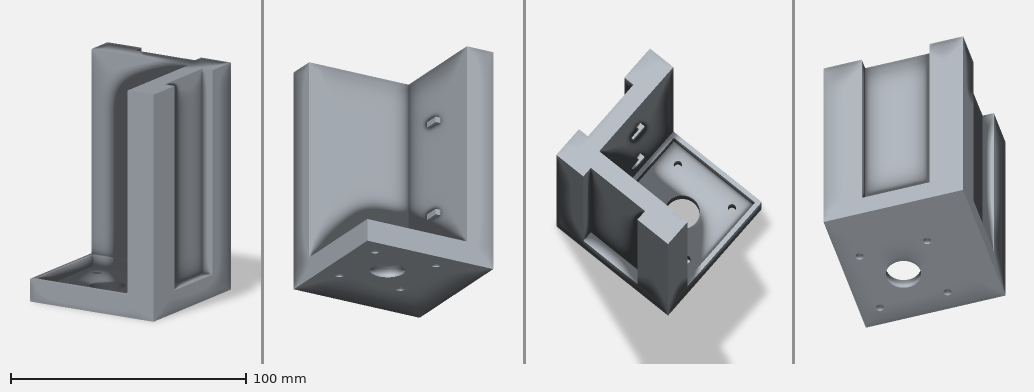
import cadquery as cq

side = 62.0
height = 100.0
base_height = 10.0
wall = 13.0
inner = side - wall

rim = 2.0
pocket_side = inner - 2 * rim
pocket_depth = 5.0

hole_center = 24.0
shaft_hole_diameter = 15.0
screw_hole_diameter = 3.5
screw_spacing = 30.0

channel_start = 17.0
channel_width = 30.0
channel_depth = 5.0

hook_start = 22.0
hook_length = 7.5
hook_height = 2.5
hook_plate = 1.0
hook_reach = 2.5
hook_stem = 2.5
hook_levels = (30.0, 72.5)


def box(x, y, z, length, width, tall):
    """Box with its lowest corner at (x, y, z)."""
    return cq.Workplane("XY").box(length, width, tall, centered=False).translate((x, y, z))


def corner_block():
    """Square base carrying two walls that meet in the +X +Y corner."""
    block = box(0, 0, 0, side, side, height)
    return block.cut(box(0, 0, base_height, inner, inner, height))


def base_cutouts():
    """Pocket, shaft hole and four screw holes."""
    pocket = box(rim, rim, base_height - pocket_depth, pocket_side, pocket_side, pocket_depth)
    center = cq.Workplane("XY").center(hole_center, hole_center)
    shaft_hole = center.circle(shaft_hole_diameter / 2).extrude(base_height)
    screw_holes = (
        center.rect(screw_spacing, screw_spacing, forConstruction=True)
        .vertices()
        .circle(screw_hole_diameter / 2)
        .extrude(base_height)
    )
    return pocket.union(shaft_hole).union(screw_holes)


def wall_channels():
    """One channel in each outer wall face, from the base to the top."""
    floor = side - channel_depth
    back = box(channel_start, floor, base_height, channel_width, channel_depth, height)
    right = box(floor, channel_start, base_height, channel_depth, channel_width, height)
    return back.union(right)


def hook(level):
    """Stem from the wall with a plate running on toward +Y."""
    tip = inner - hook_reach
    stem = box(tip, hook_start, level, hook_reach, hook_stem, hook_height)
    plate = box(tip, hook_start, level, hook_plate, hook_length, hook_height)
    return stem.union(plate)


result = corner_block().cut(base_cutouts()).cut(wall_channels())
for hook_level in hook_levels:
    result = result.union(hook(hook_level))